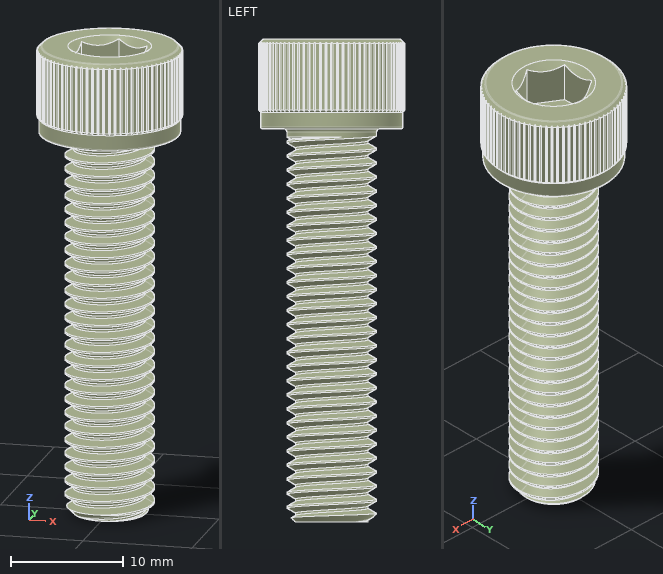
import cadquery as cq
import math

thread_diameter = 8.0
shank_length = 35.0
head_diameter = 13.0
head_height = 8.0

top_chamfer = 0.4
head_edge_fillet = 0.15
collar_diameter = 12.65
collar_height = 1.45
knurl_end_taper = 0.22
knurl_count = 80
knurl_depth = 0.09
knurl_groove_angle = 90.0

socket_sides = 6
socket_width = 6.0
socket_depth = 4.0
socket_mouth_diameter = 7.44
socket_mouth_angle = 90.0

neck_fillet = 0.3
pitch = 1.25
thread_angle = 60.0
crest_flat = pitch / 8
sharp_thread_height = math.sqrt(3) / 2 * pitch
thread_depth = 17 / 24 * sharp_thread_height
groove_height = -0.86
neck_length = 0.74
cutter_overlap = 0.05

head_radius = head_diameter / 2
collar_radius = collar_diameter / 2
thread_radius = thread_diameter / 2
flank_slope = math.tan(math.radians(thread_angle / 2))
root_radius = thread_radius - thread_depth


def make_head():
    """Revolved head with a chamfered, softened top edge and a stepped-in collar below the knurl."""
    blank = (
        cq.Workplane("XZ")
        .moveTo(0, head_height)
        .lineTo(head_radius - top_chamfer, head_height)
        .lineTo(head_radius, head_height - top_chamfer)
        .lineTo(head_radius, collar_height + knurl_end_taper)
        .lineTo(collar_radius, collar_height)
        .lineTo(collar_radius, 0)
        .lineTo(0, 0)
        .close()
        .revolve(360, (0, 0, 0), (0, 1, 0))
    )
    blank = blank.faces("<Z").edges().fillet(head_edge_fillet)
    return blank.faces(">Z").edges().fillet(head_edge_fillet)


def make_shank():
    """Revolved shank with a neck fillet and a tip chamfered down to the thread root."""
    arc_offset = neck_fillet * (1 - math.sqrt(0.5))
    return (
        cq.Workplane("XZ")
        .lineTo(thread_radius + neck_fillet, 0)
        .threePointArc((thread_radius + arc_offset, -arc_offset), (thread_radius, -neck_fillet))
        .lineTo(thread_radius, -shank_length + thread_depth)
        .lineTo(root_radius, -shank_length)
        .lineTo(0, -shank_length)
        .close()
        .revolve(360, (0, 0, 0), (0, 1, 0))
    )


def make_knurl_grooves():
    """Straight V grooves evenly spaced around the head, from the collar to the top."""
    slope = math.tan(math.radians(knurl_groove_angle / 2))
    outer_radius = head_radius + cutter_overlap
    half_width = (knurl_depth + cutter_overlap) * slope
    groove = (
        cq.Workplane("XY", origin=(0, 0, collar_height))
        .moveTo(head_radius - knurl_depth, 0)
        .lineTo(outer_radius, half_width)
        .lineTo(outer_radius, -half_width)
        .close()
        .extrude(head_height - collar_height)
        .val()
    )
    axis_start = cq.Vector(0, 0, 0)
    axis_end = cq.Vector(0, 0, 1)
    step = 360 / knurl_count
    grooves = [groove.rotate(axis_start, axis_end, i * step) for i in range(knurl_count)]
    return cq.Workplane(cq.Compound.makeCompound(grooves))


def make_socket():
    """Hexagon pocket, corners toward +Y and -Y, with a conical mouth."""
    half_side_angle = 180 / socket_sides
    across_corners = socket_width / math.cos(math.radians(half_side_angle))
    hexagon = (
        cq.Workplane("XY", origin=(0, 0, head_height - socket_depth))
        .polygon(socket_sides, across_corners)
        .extrude(socket_depth)
        .rotate((0, 0, 0), (0, 0, 1), half_side_angle)
    )
    mouth_radius = socket_mouth_diameter / 2
    cone_height = mouth_radius / math.tan(math.radians(socket_mouth_angle / 2))
    mouth = cq.Workplane(
        cq.Solid.makeCone(0, mouth_radius, cone_height, cq.Vector(0, 0, head_height - cone_height))
    )
    return hexagon.union(mouth)


def make_groove_turn():
    """One turn of the right-hand thread groove with a flat root, starting at +X and Z = 0."""
    outer_radius = thread_radius + cutter_overlap
    outer_half = (pitch - crest_flat) / 2 + cutter_overlap * flank_slope
    root_half = outer_half - (thread_depth + cutter_overlap) * flank_slope
    section = (
        cq.Workplane("XZ")
        .moveTo(root_radius, -root_half)
        .lineTo(outer_radius, -outer_half)
        .lineTo(outer_radius, outer_half)
        .lineTo(root_radius, root_half)
        .close()
    )
    helix = cq.Wire.makeHelix(pitch, pitch, thread_radius)
    return section.sweep(cq.Workplane(helix), isFrenet=True)


def make_neck():
    """Unthreaded stub under the head whose conical lower face ends the top thread groove."""
    overhang = 2 * cutter_overlap
    outer_radius = thread_radius + overhang
    return (
        cq.Workplane("XZ")
        .moveTo(0, pitch)
        .lineTo(outer_radius, pitch)
        .lineTo(outer_radius, -neck_length + overhang * flank_slope)
        .lineTo(0, -neck_length - thread_radius * flank_slope)
        .close()
        .revolve(360, (0, 0, 0), (0, 1, 0))
    )


def cut_thread(shank):
    """Cut the groove turn by turn from the head to below the tip."""
    turn = make_groove_turn()
    neck = make_neck()
    turn_count = math.ceil((groove_height + pitch + shank_length) / pitch)
    for i in range(turn_count):
        start = groove_height - i * pitch
        cutter = turn.translate((0, 0, start))
        if start > -neck_length - pitch:
            cutter = cutter.cut(neck)
        shank = shank.cut(cutter, clean=False)
    return shank


head = make_head().cut(make_knurl_grooves()).cut(make_socket())
result = head.union(cut_thread(make_shank()), clean=False)